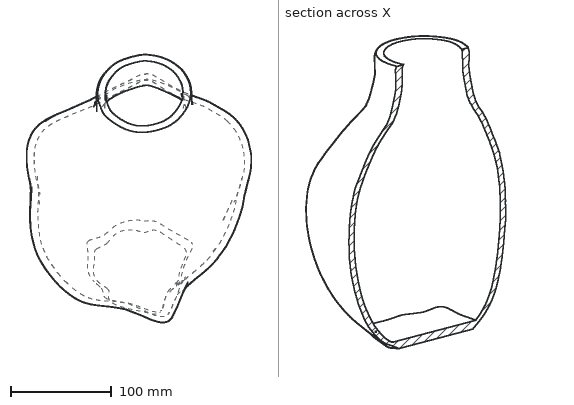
import cadquery as cq
import math

height = 300.7
neck_radius_x = 46.0
neck_radius_y = 47.5
neck_flare = 4.5
flare_start = 300.7
flare_end = 240.5
wall = 7.8
floor = 9
twist_start = 135.3
twist_end = 228.5

belly_stations = [
    (0, 96.0, 0, 0),
    (18, 99.2, 4, 0),
    (33, 105.2, 9, 0.3),
    (46, 117.3, 12, 0.7),
    (58, 106.2, 9, 0.7),
    (80, 97.7, 0, 0.6),
    (99, 106.0, -4, 0.8),
    (111, 121.2, -6, 0.6),
    (122, 114.3, -6, 0.8),
    (142, 99.8, 0, 1.1),
    (162, 108.3, 0, 0.9),
    (175, 127.5, 0, 1.1),
    (187, 118.0, 0, 1),
    (205, 113.5, -6, 1),
    (222, 120.3, -10, 0.8),
    (238, 123.5, -12, 0.6),
    (249, 110.7, -8, 1),
    (269, 85.5, 0, 1.1),
    (289, 95.0, 6, 1.1),
    (306, 107.0, 12, 1.3),
    (318, 95.5, 10, 0.5),
    (334, 89.5, 4, 0),
]

levels = [
    (0, -0.2, 0.27),
    (9, 0.02, 0.25),
    (19.2, 0.17, 0.29),
    (39, 0.4, 0.29),
    (60, 0.64, 0.19),
    (90.2, 0.87, 0.08),
    (120.3, 0.99, 0.01),
    (150.5, 0.97, 0),
    (180.5, 0.82, 0),
    (200.0, 0.63, 0),
    (219.5, 0.42, 0),
    (234.5, 0.2, 0),
    (249.5, 0.06, 0),
    (270.5, 0, 0),
    (285.7, 0, 0),
    (height, 0, 0),
]


def ramp(value, start, end):
    """Linear share of the way from start to end, limited to 0..1."""
    return min(1, max(0, (value - start) / (end - start)))


def section(level, inset):
    """Closed wavy outline at one level, moved radially inwards by inset."""
    z, slim_share, fullness_gain = level
    flare = neck_flare * ramp(z, flare_start, flare_end) * ramp(z, 0, twist_start)
    points = []
    for direction, belly_radius, lean, fullness in belly_stations:
        angle = math.radians(direction + lean * ramp(z, twist_start, twist_end))
        neck_radius = math.hypot(neck_radius_x * math.cos(angle), neck_radius_y * math.sin(angle))
        share = slim_share + fullness_gain * fullness
        round_radius = neck_radius + flare * (1 - share)
        radius = round_radius + (belly_radius - neck_radius) * share - inset
        points.append(cq.Vector(radius * math.cos(angle), radius * math.sin(angle), z))
    even_parameters = range(len(points) + 1)
    outline = cq.Edge.makeSpline(points, periodic=True, parameters=even_parameters)
    return cq.Wire.assembleEdges([outline])


def wavy_body(body_levels, inset):
    """Solid with a smooth skin through the outlines of all the given levels."""
    outlines = [section(level, inset) for level in body_levels]
    return cq.occ_impl.shapes.loft(outlines, cap=True, compat=False, parametrization="chordal")


outside = wavy_body(levels, 0)

cavity_levels = [(floor, *levels[1][1:])] + [level for level in levels if level[0] > floor]
cavity = wavy_body(cavity_levels, wall)

result = cq.Workplane(outside).cut(cq.Workplane(cavity))